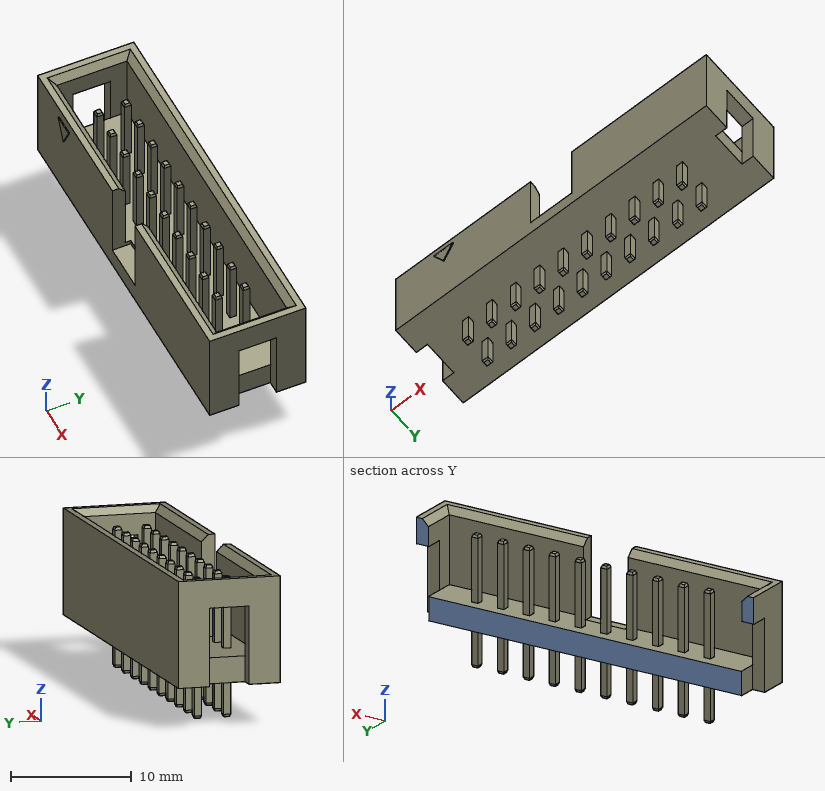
import cadquery as cq


length = 33.2
width = 8.8
height = 9.0
wall = 1.2
floor_height = 2.2
rim_chamfer = wall / 2

end_slot_width = 3.42
end_slot_height = 6.6

notch_width = 4.38
notch_depth = 1.7
notch_bottom = 1.8

mark_width = 2.03
mark_height = 2.0
mark_drop = 1.0
mark_thickness = 0.1

pins_per_row = 10
row_count = 2
row_length = 22.87
pitch = row_length / (pins_per_row - 1)
row_spacing = 2.52
pin_size = 0.63
pin_top = 8.2
pin_bottom = -3.62
tip_height = 0.23
tip_inset = 0.1


def make_housing():
    """Box with a deep pocket whose upper edge is chamfered all round."""
    inner_length = length - 2 * wall
    inner_width = width - 2 * wall
    block = cq.Workplane("XY").box(length, width, height, centered=(True, True, False))
    pocket = (
        cq.Workplane("XY", origin=(0, 0, floor_height))
        .rect(inner_length, inner_width)
        .extrude(height - floor_height)
    )
    rim = (
        cq.Workplane("XY", origin=(0, 0, height - rim_chamfer))
        .rect(inner_length, inner_width)
        .workplane(offset=rim_chamfer)
        .rect(inner_length + 2 * rim_chamfer, inner_width + 2 * rim_chamfer)
        .loft(ruled=True)
    )
    return block.cut(pocket).cut(rim)


def make_end_slots():
    """Cutters as deep as the end walls are thick, one at each end."""
    return (
        cq.Workplane("XY")
        .pushPoints([(side * (length - wall) / 2, 0) for side in (-1, 1)])
        .rect(wall, end_slot_width)
        .extrude(end_slot_height)
    )


def make_notch():
    """Cutter for the notch, open at the front face and at the rim."""
    return cq.Workplane("XY", origin=(0, -width / 2, notch_bottom)).box(
        notch_width, notch_depth, height - notch_bottom, centered=(True, False, False)
    )


def make_mark():
    """Triangle pointing down on the front face, in line with the first pin."""
    center_x = -row_length / 2
    top_z = height - mark_drop
    return (
        cq.Workplane("XZ", origin=(0, -width / 2, 0))
        .moveTo(center_x - mark_width / 2, top_z)
        .lineTo(center_x + mark_width / 2, top_z)
        .lineTo(center_x, top_z - mark_height)
        .close()
        .extrude(mark_thickness)
    )


def make_pins():
    """Grid of square pins, tapered at both ends."""
    pin = (
        cq.Workplane("XY", origin=(0, 0, pin_bottom))
        .rect(pin_size, pin_size)
        .extrude(pin_top - pin_bottom)
        .faces("<Z or >Z")
        .chamfer(tip_height, tip_inset)
        .val()
    )
    return (
        cq.Workplane("XY")
        .rarray(pitch, row_spacing, pins_per_row, row_count)
        .eachpoint(lambda place: pin.moved(place))
    )


housing = make_housing().cut(make_end_slots()).cut(make_notch())
result = housing.union(make_mark()).union(make_pins())